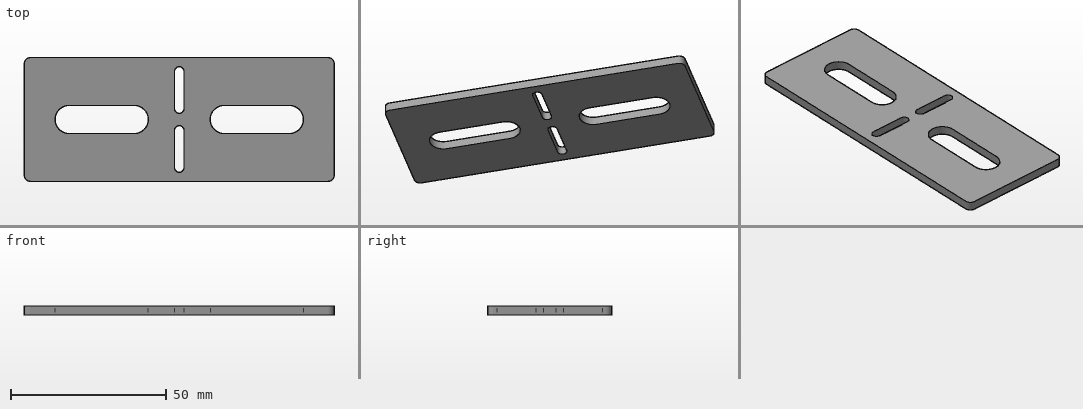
import cadquery as cq

length = 100.0
width = 40.0
thickness = 3.0
corner_radius = 2.0

wide_slot_length = 30.0
wide_slot_width = 9.0
wide_slot_offset = length / 4

narrow_slot_length = 15.0
narrow_slot_width = 3.0
narrow_slot_offset = 9.5


def make_plate():
    """Flat plate with rounded corners, standing on Z = 0."""
    plate = cq.Workplane("XY").box(length, width, thickness, centered=(True, True, False))
    return plate.edges("|Z").fillet(corner_radius)


def cut_slots(body, centres, slot_length, slot_width, angle):
    """Cut round-ended slots through the plate; angle is measured from X."""
    return (
        body.faces(">Z")
        .workplane(origin=(0, 0, thickness))
        .pushPoints(centres)
        .slot2D(slot_length, slot_width, angle)
        .cutThruAll()
    )


wide_slot_centres = [(side * wide_slot_offset, 0) for side in (-1, 1)]
narrow_slot_centres = [(0, side * narrow_slot_offset) for side in (-1, 1)]

result = make_plate()
result = cut_slots(result, wide_slot_centres, wide_slot_length, wide_slot_width, angle=0)
result = cut_slots(result, narrow_slot_centres, narrow_slot_length, narrow_slot_width, angle=90)